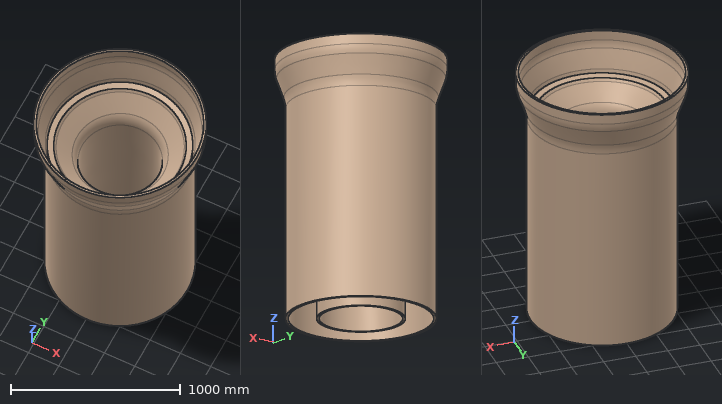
import cadquery as cq
import math

height = 1600.0
pipe_outer_radius = 445.0
bell_outer_radius = 509.0
wall = 16.0
bell_straight = 60.0
flare_angle = math.radians(20)
shoulder_radius = 160.0
neck_radius = 192.0

bore_radius = 250.0
tube_outer_radius = 264.0
tube_taper = 3.0
rim_top = 1350.0
rim_inner_radius = 390.0
rim_inner_top = 1340.0
bend_end_radius = 378.0
bend_end_top = 1323.0
throat_bend_radius = 105.0
cone_angle = math.radians(43)
skirt_bottom = 1280.0

pipe_bore_radius = pipe_outer_radius - wall
liner_wall = tube_outer_radius - bore_radius


def revolve_profile(profile):
    """Revolve a closed XZ profile around the Z axis."""
    return profile.close().revolve(360, (0, 0, 0), (0, 1, 0))


def arc_point(center, radius, angle):
    """Point on a circle at an angle measured from the +X direction."""
    return (center[0] + radius * math.cos(angle), center[1] + radius * math.sin(angle))


def make_pipe():
    """Pipe with a flared bell of constant wall thickness."""
    shoulder_center = (bell_outer_radius - shoulder_radius, height - bell_straight)
    neck_center_x = pipe_outer_radius + neck_radius
    bends = shoulder_radius + neck_radius
    step = bell_outer_radius - pipe_outer_radius
    flare_run = step - bends * (1 - math.cos(flare_angle))
    flare_drop = flare_run / math.tan(flare_angle) + bends * math.sin(flare_angle)
    neck_center = (neck_center_x, shoulder_center[1] - flare_drop)

    def shoulder(offset, angle):
        return arc_point(shoulder_center, shoulder_radius - offset, -angle)

    def neck(offset, angle):
        return arc_point(neck_center, neck_radius + offset, math.pi - angle)

    half = flare_angle / 2
    profile = (
        cq.Workplane("XZ")
        .moveTo(pipe_outer_radius, 0)
        .lineTo(*neck(0, 0))
        .threePointArc(neck(0, half), neck(0, flare_angle))
        .lineTo(*shoulder(0, flare_angle))
        .threePointArc(shoulder(0, half), shoulder(0, 0))
        .lineTo(bell_outer_radius, height)
        .lineTo(bell_outer_radius - wall, height)
        .lineTo(*shoulder(wall, 0))
        .threePointArc(shoulder(wall, half), shoulder(wall, flare_angle))
        .lineTo(*neck(wall, flare_angle))
        .threePointArc(neck(wall, half), neck(wall, 0))
        .lineTo(pipe_bore_radius, 0)
    )
    return revolve_profile(profile)


def make_liner():
    """Funnel with a sloping rim, a cone and a tapered tube down to the pipe end."""
    bend_center_x = bore_radius + throat_bend_radius
    bend_sweep = math.pi / 2 - cone_angle
    cone_end_radius = bend_center_x - throat_bend_radius * math.cos(bend_sweep)
    cone_end_top = bend_end_top - (bend_end_radius - cone_end_radius) * math.tan(cone_angle)
    bend_center = (bend_center_x, cone_end_top - throat_bend_radius * math.sin(bend_sweep))

    def throat(offset, angle):
        return arc_point(bend_center, throat_bend_radius - offset, math.pi - angle)

    half = bend_sweep / 2
    skirt_inner_radius = pipe_bore_radius - liner_wall
    rim_slope = (rim_top - rim_inner_top) / (pipe_bore_radius - rim_inner_radius)
    rim_underside = rim_inner_top - liner_wall
    skirt_inner_top = rim_underside + rim_slope * (skirt_inner_radius - rim_inner_radius)
    under_start = (
        bend_end_radius + liner_wall * math.sin(cone_angle),
        bend_end_top - liner_wall * math.cos(cone_angle),
    )
    profile = (
        cq.Workplane("XZ")
        .moveTo(bore_radius - tube_taper, 0)
        .lineTo(*throat(0, 0))
        .threePointArc(throat(0, half), throat(0, bend_sweep))
        .lineTo(bend_end_radius, bend_end_top)
        .lineTo(rim_inner_radius, rim_inner_top)
        .lineTo(pipe_bore_radius, rim_top)
        .lineTo(pipe_bore_radius, skirt_bottom)
        .lineTo(skirt_inner_radius, skirt_bottom)
        .lineTo(skirt_inner_radius, skirt_inner_top)
        .lineTo(*under_start)
        .lineTo(*throat(liner_wall, bend_sweep))
        .threePointArc(throat(liner_wall, half), throat(liner_wall, 0))
        .lineTo(tube_outer_radius - tube_taper, 0)
    )
    return revolve_profile(profile)


pipe = make_pipe()
liner = make_liner()
result = cq.Compound.makeCompound([pipe.val(), liner.val()])